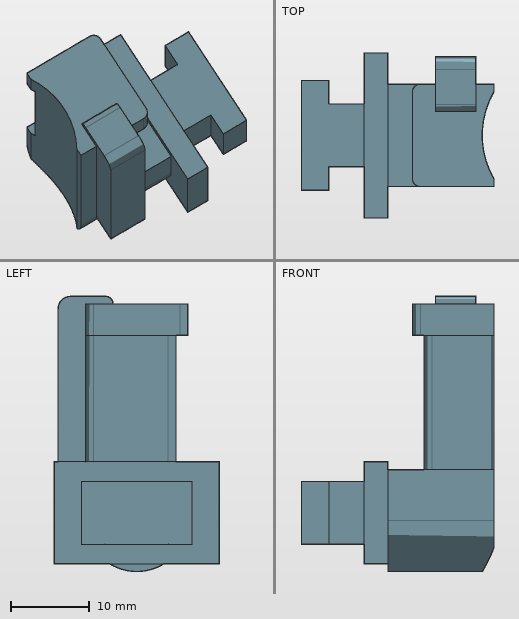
import cadquery as cq

total_length = 24.5
total_height = 35.0

head_length = 3.5
head_width = 14.0
neck_width = 8.0
head_height = 8.0
flange_start = 7.98
flange_thickness = 3.0
flange_width = 21.0
flange_height = 12.98
flange_bottom = 0.98

body_radius = 6.5
body_top = 12.95
body_start = flange_start + flange_thickness

column_start = 15.57
column_front = -5.0
cap_start = 14.1
cap_front = -body_radius
cap_thickness = 4.0
corner_radius = 1.0

strap_start = 17.05
strap_length = 5.15
strap_back = 10.0
strap_tip = 3.0
hook_thickness = 0.98
hook_back_radius = 1.6
hook_tip_radius = 0.95

hollow_radius = 11.0
hollow_depth = 1.5

cap_top = total_height - hook_thickness
cap_bottom = cap_top - cap_thickness
flange_middle = flange_bottom + flange_height / 2


def block(x_range, y_range, z_range):
    """Box spanning the given (low, high) ranges."""
    (x0, x1), (y0, y1), (z0, z1) = x_range, y_range, z_range
    return cq.Workplane("XY").box(x1 - x0, y1 - y0, z1 - z0, centered=False).translate((x0, y0, z0))


def centered_block(x_range, width, height):
    """Box symmetric about Y = 0 and centred on the flange height."""
    return block(
        x_range,
        (-width / 2, width / 2),
        (flange_middle - height / 2, flange_middle + height / 2),
    )


def make_mount():
    head = centered_block((0, head_length), head_width, head_height)
    neck = centered_block((head_length, flange_start), neck_width, head_height)
    flange = centered_block((flange_start, body_start), flange_width, flange_height)
    return head.union(neck).union(flange)


def make_body():
    return (
        cq.Workplane("YZ", origin=(body_start, 0, 0))
        .moveTo(-body_radius, body_top)
        .lineTo(-body_radius, body_radius)
        .threePointArc((0, 0), (body_radius, body_radius))
        .lineTo(body_radius, body_top)
        .close()
        .extrude(total_length - body_start)
    )


def make_upright(x_start, y_front, z_range):
    """Post reaching the +X end, with rounded vertical edges on its -X side."""
    post = block((x_start, total_length), (y_front, body_radius), z_range)
    return post.edges("|Z and <X").fillet(corner_radius)


def make_strap():
    """Hook over the cap, with its leg running down the flat side of the body."""
    x_range = (strap_start, strap_start + strap_length)
    leg = block(x_range, (body_radius, strap_back), (body_radius, total_height))
    hook = block(x_range, (strap_tip, strap_back), (cap_top, total_height))
    strap = leg.union(hook)
    strap = strap.edges("|X and >Z and >Y").fillet(hook_back_radius)
    return strap.faces(">Z").edges("|X and <Y").fillet(hook_tip_radius)


column = make_upright(column_start, column_front, (body_top, cap_bottom))
cap = make_upright(cap_start, cap_front, (cap_bottom, cap_top))
hollow = (
    cq.Workplane("XY")
    .center(total_length - hollow_depth + hollow_radius, 0)
    .circle(hollow_radius)
    .extrude(total_height)
)

result = make_mount().union(make_body()).union(column).union(cap).cut(hollow).union(make_strap())